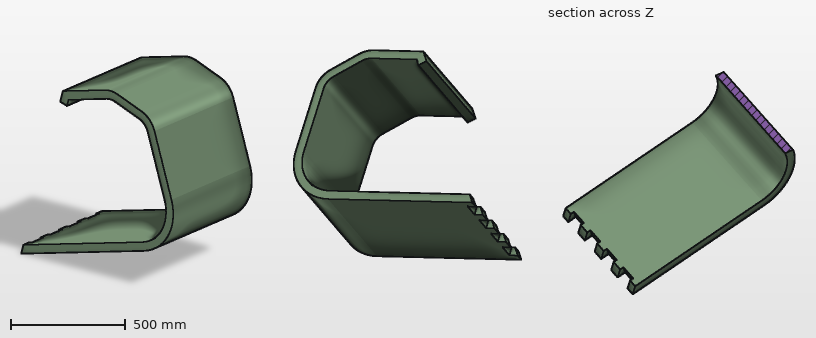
import cadquery as cq
import math

length_x = 845.26
width_y = 554.4
height_z = 866.26
thickness = 40.0

floor_angle = 13.63
back_angle = 107.6
shoulder_angle = 159.7
roof_angle = 180.0 + floor_angle

large_inner_radius = 173.5
small_inner_radius = 79.0
large_outer_radius = large_inner_radius + thickness
small_outer_radius = small_inner_radius + thickness

crown_center_x = 494.8

end_face_slope = 60.0
end_face_angle = floor_angle + end_face_slope
lip_corner_x = 232.0
lip_length = 55.0

notch_count = 4
notch_width = 78.0
notch_pitch = 131.0
notch_depth = 40.0


def direction(angle):
    return (math.cos(math.radians(angle)), math.sin(math.radians(angle)))


def outward(angle):
    """Unit normal on the outer (right-hand) side of a plate running at the given angle."""
    return direction(angle - 90.0)


def move(point, vector, distance):
    return (point[0] + distance * vector[0], point[1] + distance * vector[1])


def dot(a, b):
    return a[0] * b[0] + a[1] * b[1]


def meet(point_a, angle_a, point_b, angle_b):
    """Intersection of two lines, each given by a point and an angle."""
    gap = (point_b[0] - point_a[0], point_b[1] - point_a[1])
    normal_b = outward(angle_b)
    distance = dot(gap, normal_b) / dot(direction(angle_a), normal_b)
    return move(point_a, direction(angle_a), distance)


def find_bend_centers():
    """Centres of the heel, shoulder and crown bends in the XZ plane."""
    heel_x = length_x - large_outer_radius
    floor_normal = outward(floor_angle)
    heel_z = (-large_outer_radius - floor_normal[0] * heel_x) / floor_normal[1]
    heel = (heel_x, heel_z)

    crown = (crown_center_x, height_z - small_outer_radius)

    back_line = move(heel, outward(back_angle), large_outer_radius - small_outer_radius)
    shoulder = meet(back_line, back_angle, crown, shoulder_angle)
    return heel, shoulder, crown


def draw_bend(sketch, center, radius, start_angle, end_angle):
    """Line up to the bend, then the tangent arc around it."""
    start, middle, end = [
        move(center, outward(angle), radius)
        for angle in (start_angle, (start_angle + end_angle) / 2.0, end_angle)
    ]
    return sketch.lineTo(*start).threePointArc(middle, end)


def make_strip():
    """Bent strip with its lip, extruded across the full width."""
    heel, shoulder, crown = find_bend_centers()
    bends = [
        (heel, large_inner_radius, floor_angle, back_angle),
        (shoulder, small_inner_radius, back_angle, shoulder_angle),
        (crown, small_inner_radius, shoulder_angle, roof_angle),
    ]

    toe_tip = (0.0, 0.0)
    floor_top = move(toe_tip, outward(floor_angle), -thickness)
    toe_top = meet(floor_top, floor_angle, toe_tip, end_face_angle)

    roof_outer = move(crown, outward(roof_angle), small_outer_radius)
    roof_inner = move(crown, outward(roof_angle), small_inner_radius)
    lip_corner = meet(roof_outer, roof_angle, (lip_corner_x, 0.0), 90.0)
    lip_outer_end = move(lip_corner, direction(end_face_angle), -lip_length)
    lip_inner_end = move(lip_outer_end, outward(end_face_angle), thickness)
    lip_root = meet(roof_inner, roof_angle, lip_inner_end, end_face_angle)

    sketch = cq.Workplane("XZ").moveTo(*toe_tip)
    for center, inner_radius, start_angle, end_angle in bends:
        sketch = draw_bend(sketch, center, inner_radius + thickness, start_angle, end_angle)
    for point in (lip_corner, lip_outer_end, lip_inner_end, lip_root):
        sketch = sketch.lineTo(*point)
    for center, inner_radius, start_angle, end_angle in reversed(bends):
        sketch = draw_bend(sketch, center, inner_radius, end_angle, start_angle)
    return sketch.lineTo(*toe_top).close().extrude(width_y / 2.0, both=True)


def make_notch(center_y):
    """Cutter whose inner wall is square to the floor plate, notch_depth from the toe tip."""
    cutter_length = 2.0 * notch_depth
    cutter_height = 3.0 * thickness
    return (
        cq.Workplane("XY")
        .box(cutter_length, notch_width, cutter_height)
        .translate((notch_depth - cutter_length / 2.0, center_y, thickness / 2.0))
        .rotate((0, 0, 0), (0, 1, 0), -floor_angle)
    )


result = make_strip()
for index in range(notch_count):
    notch_y = (index - (notch_count - 1) / 2.0) * notch_pitch
    result = result.cut(make_notch(notch_y))